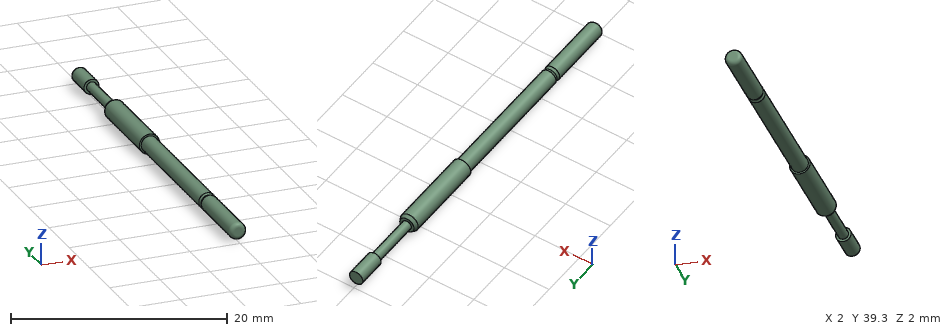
import cadquery as cq


total_length = 39.3
head_length = 3.0
stem_length = 5.3
collar_length = 9.0

head_diameter = 1.5
stem_diameter = 1.0
collar_diameter = 2.0
barrel_diameter = 1.65

collar_chamfer_length = 0.4
collar_chamfer_depth = 0.2
tail_edge_radius = 0.4

groove_width = 0.6
groove_depth = 0.11
groove_to_tail = 7.2

stem_start = collar_length
head_start = stem_start + stem_length
head_end = head_start + head_length
tail_end = head_end - total_length
groove_center = tail_end + groove_to_tail + groove_width / 2


def cylinder(diameter, y_from, y_to):
    """Round bar on the Y axis between two positions."""
    start_plane = cq.Plane(origin=(0, y_from, 0), xDir=(1, 0, 0), normal=(0, 1, 0))
    return cq.Workplane(start_plane).circle(diameter / 2).extrude(y_to - y_from)


def make_plunger():
    """Thin stem that carries the contact head."""
    stem = cylinder(stem_diameter, stem_start, head_start)
    head = cylinder(head_diameter, head_start, head_end)
    return stem.union(head)


def make_collar():
    """Press-fit collar with its plunger-side edge chamfered."""
    collar = cylinder(collar_diameter, 0, collar_length)
    return collar.faces(">Y").edges().chamfer(collar_chamfer_length, collar_chamfer_depth)


def make_barrel():
    """Long barrel with a rounded tail and a shallow V-groove."""
    barrel = cylinder(barrel_diameter, tail_end, 0)
    barrel = barrel.faces("<Y").edges().fillet(tail_edge_radius)
    return barrel.cut(make_groove())


def make_groove():
    """Ring of triangular section that cuts the V-groove."""
    barrel_radius = barrel_diameter / 2
    half_width = groove_width / 2
    return (
        cq.Workplane("YZ")
        .moveTo(groove_center - half_width, barrel_radius)
        .lineTo(groove_center, barrel_radius - groove_depth)
        .lineTo(groove_center + half_width, barrel_radius)
        .close()
        .revolve(360, (0, 0, 0), (1, 0, 0))
    )


result = make_plunger().union(make_collar()).union(make_barrel())